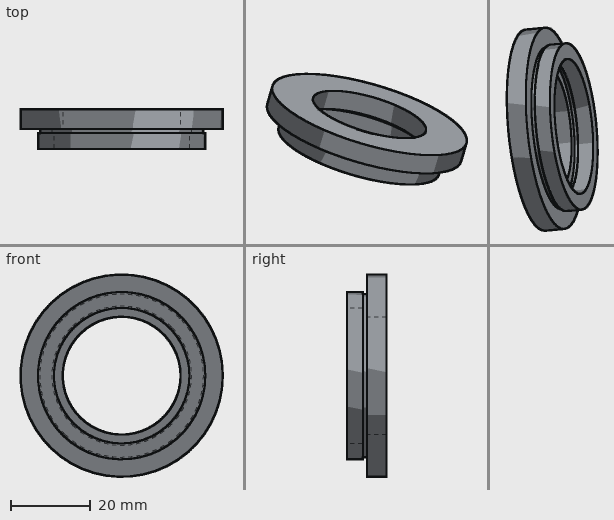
import cadquery as cq

flange_diameter = 50.8
flange_thickness = 5.0
spigot_diameter = 42.0
spigot_length = 5.0
bore_diameter = 29.5
counterbore_diameter = 34.0
counterbore_depth = 5.0
groove_width = 1.0
groove_depth = 0.5

total_length = spigot_length + flange_thickness
spigot_groove_diameter = spigot_diameter - 2 * groove_depth
counterbore_groove_diameter = counterbore_diameter + 2 * groove_depth


def cylinder(diameter, start, length):
    """Solid cylinder along +Y, beginning at Y = start."""
    plane = cq.Workplane("XZ", origin=(0, start, 0))
    return plane.circle(diameter / 2).extrude(-length)


def make_body():
    """Flange and spigot, with the spigot necked down next to the flange."""
    spigot_land_length = spigot_length - groove_width
    land = cylinder(spigot_diameter, 0, spigot_land_length)
    neck = cylinder(spigot_groove_diameter, spigot_land_length, groove_width)
    flange = cylinder(flange_diameter, spigot_length, flange_thickness)
    return land.union(neck).union(flange)


def make_stepped_bore():
    """Through bore and counterbore, widened by a groove at the counterbore floor."""
    bore = cylinder(bore_diameter, 0, total_length)
    counterbore = cylinder(counterbore_diameter, 0, counterbore_depth)
    groove = cylinder(counterbore_groove_diameter, counterbore_depth - groove_width, groove_width)
    return bore.union(counterbore).union(groove)


result = make_body().cut(make_stepped_bore())